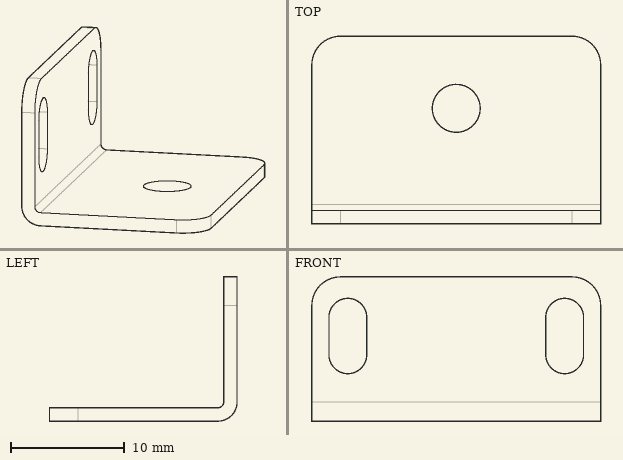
import cadquery as cq

width = 25.4
depth = 16.5
height = 12.7
thickness = 1.2
inner_bend_radius = 0.5
outer_bend_radius = inner_bend_radius + thickness
corner_radius = 2.55

hole_diameter = 4.2
hole_from_back = 6.35

slot_width = 3.3
slot_length = 6.6
slot_spacing = 19.05
slot_center_z = 7.5


def bent_sheet():
    """L-shaped sheet, front face at Y = 0 and underside at Z = 0, centred on X."""
    base = cq.Workplane("XY").box(width, depth, thickness, centered=(True, False, False))
    wall = cq.Workplane("XY").box(width, thickness, height, centered=(True, False, False))
    sheet = base.union(wall)
    inner_corner = cq.selectors.NearestToPointSelector((0, thickness, thickness))
    outer_corner = cq.selectors.NearestToPointSelector((0, 0, 0))
    sheet = sheet.edges(inner_corner).fillet(inner_bend_radius)
    return sheet.edges(outer_corner).fillet(outer_bend_radius)


def round_free_corners(sheet):
    """Round the two back corners of the base and the two top corners of the wall."""
    sheet = sheet.faces(">Y").edges("|Z").fillet(corner_radius)
    return sheet.faces(">Z").edges("|Y").fillet(corner_radius)


def base_hole():
    return (
        cq.Workplane("XY")
        .center(0, depth - hole_from_back)
        .circle(hole_diameter / 2)
        .extrude(thickness)
    )


def wall_slots():
    slot_centers = [(side * slot_spacing / 2, slot_center_z) for side in (-1, 1)]
    return (
        cq.Workplane("XZ")
        .pushPoints(slot_centers)
        .slot2D(slot_length, slot_width, 90)
        .extrude(-thickness)
    )


result = round_free_corners(bent_sheet()).cut(base_hole()).cut(wall_slots())